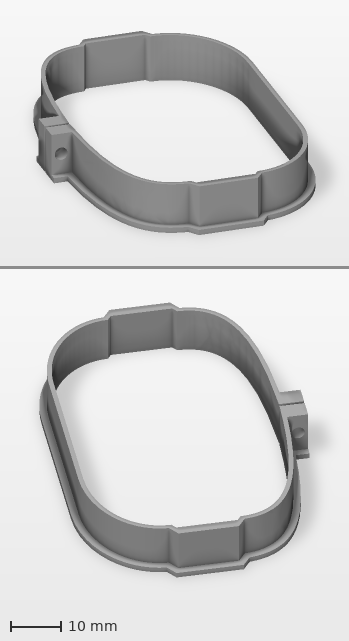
import cadquery as cq

LENGTH = 75.3
HEIGHT = 10.0
BACK_Y = 24.0
FRONT_Y = -26.5

WALL = 1.0
FLANGE_LIP = 1.5
FLANGE_HEIGHT = 1.1
FLANGE_REACH = WALL + FLANGE_LIP

CORNER_RX = 17.8
CORNER_RY = 14.4
CORNER_X = 15.35
CORNER_Y = BACK_Y - FLANGE_REACH - CORNER_RY

FRONT_INSIDE = -21.4
FRONT_RISE = 0.6
FRONT_CURVE_Y = -6.9
FRONT_PULL_SIDE = 10.5
FRONT_PULL_MIDDLE = 22.6

BULGE_FLANGE_X = LENGTH / 2
BULGE_WALL_X = BULGE_FLANGE_X - FLANGE_LIP
BULGE_INSIDE_X = 34.2
BULGE_FLANGE_HALF = 6.85
BULGE_WALL_HALF = 6.2
BULGE_INSIDE_HALF = 6.25
SHOULDER_SLOPE = 0.75
SHOULDER_ROOT_X = 24.1

CLAMP_HALF = 4.0
CLAMP_FLANGE_HALF = CLAMP_HALF + FLANGE_LIP
CLAMP_DEPTH = 4.1
SLIT = 0.6
HOLE_DIAMETER = 2.7
HOLE_Y = FRONT_Y + CLAMP_DEPTH / 2
HOLE_Z = (FLANGE_HEIGHT + HEIGHT) / 2


def band_body(offset, height):
    """Solid filling the inside opening, grown outward by the offset."""
    corner_rx = CORNER_RX + offset
    corner_ry = CORNER_RY + offset
    side_x = CORNER_X + corner_rx
    front_y = FRONT_INSIDE - offset
    middle = (0, front_y)
    right_front = [
        (FRONT_PULL_MIDDLE + offset, front_y + FRONT_RISE),
        (side_x, FRONT_CURVE_Y - FRONT_PULL_SIDE - offset / 2),
        (side_x, FRONT_CURVE_Y),
    ]
    left_front = [(-x, y) for x, y in reversed(right_front)]
    return (
        cq.Workplane("XY")
        .moveTo(*middle)
        .bezier([middle] + right_front)
        .lineTo(side_x, CORNER_Y)
        .ellipseArc(corner_rx, corner_ry, 0, 90, startAtCurrent=True)
        .lineTo(-CORNER_X, CORNER_Y + corner_ry)
        .ellipseArc(corner_rx, corner_ry, 90, 180, startAtCurrent=True)
        .lineTo(-side_x, FRONT_CURVE_Y)
        .bezier(left_front + [middle])
        .close()
        .extrude(height)
    )


def bulge_bar(face_x, half_width, height):
    """Bar across the opening whose two ends are the side bulges with sloped shoulders."""
    root_half = half_width + SHOULDER_SLOPE * (face_x - SHOULDER_ROOT_X)
    right_end = [
        (SHOULDER_ROOT_X, -root_half),
        (face_x, -half_width),
        (face_x, half_width),
        (SHOULDER_ROOT_X, root_half),
    ]
    left_end = [(-x, -y) for x, y in right_end]
    return cq.Workplane("XY").polyline(right_end + left_end).close().extrude(height)


def front_block(half_width, height):
    """Block centred on X = 0 from the front face back to the middle of the opening."""
    return (
        cq.Workplane("XY", origin=(0, FRONT_Y, 0))
        .box(2 * half_width, -FRONT_Y, height, centered=(True, False, False))
    )


def layer(offset, bulge_x, bulge_half, clamp_half, height):
    """Filled outline of the wall or the flange, with its bulges and clamp."""
    return (
        band_body(offset, height)
        .union(bulge_bar(bulge_x, bulge_half, height))
        .union(front_block(clamp_half, height))
    )


flange = layer(FLANGE_REACH, BULGE_FLANGE_X, BULGE_FLANGE_HALF, CLAMP_FLANGE_HALF, FLANGE_HEIGHT)
wall = layer(WALL, BULGE_WALL_X, BULGE_WALL_HALF, CLAMP_HALF, HEIGHT)

opening = band_body(0, HEIGHT).union(bulge_bar(BULGE_INSIDE_X, BULGE_INSIDE_HALF, HEIGHT))
slit = front_block(SLIT / 2, HEIGHT)
screw_hole = (
    cq.Workplane("YZ")
    .center(HOLE_Y, HOLE_Z)
    .circle(HOLE_DIAMETER / 2)
    .extrude(CLAMP_FLANGE_HALF, both=True)
)

result = flange.union(wall).cut(opening).cut(slit).cut(screw_hole)